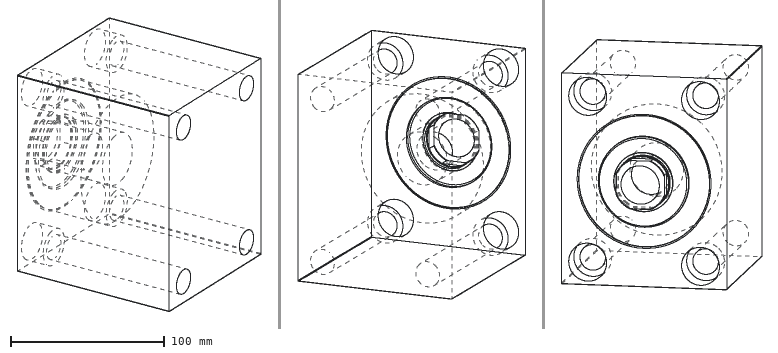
import cadquery as cq
import math

HEIGHT = 140.0
WIDTH = 110.0
LENGTH = 118.0
EDGE_CHAMFER = 0.4

BOLT_DIAMETER = 17.0
BOLT_HEAD_DIAMETER = 25.2
BOLT_HEAD_DEPTH = 17.0
BOLT_SPACING_Y = 75.0
BOLT_SPACING_Z = 110.0

GLAND_DIAMETER = 87.1
GLAND_DEPTH = 42.0
BORE_CHAMFER = 1.0
COLLAR_DIAMETER = 60.0
COLLAR_HEIGHT = 3.2
COLLAR_CHAMFER = 1.0
WIPER_DIAMETER = 39.2
WIPER_DEPTH = 1.4

ROD_DIAMETER = 35.5
HEAD_DIAMETER = 35.0
ROD_PROJECTION = 13.0
ROD_CHAMFER = 0.4
HEAD_CHAMFER = 0.3
FLATS_WIDTH = 32.0
FLATS_LENGTH = 8.0
ROD_BORE_DIAMETER = 25.5
ROD_BORE_DEPTH = 35.0
DRILL_TIP_ANGLE = 118.0



def cylinder(diameter, start, end):
    """Solid cylinder on the X axis between two X positions."""
    return cq.Workplane("YZ").workplane(offset=start).circle(diameter / 2).extrude(end - start)


def make_block():
    block = cq.Workplane("YZ").rect(WIDTH, HEIGHT).extrude(LENGTH)
    block = block.edges("|X").chamfer(EDGE_CHAMFER)

    bolt_pattern = cq.Workplane("YZ").rect(BOLT_SPACING_Y, BOLT_SPACING_Z, forConstruction=True).vertices()
    block = block.cut(bolt_pattern.circle(BOLT_DIAMETER / 2).extrude(LENGTH))
    block = block.cut(bolt_pattern.circle(BOLT_HEAD_DIAMETER / 2).extrude(BOLT_HEAD_DEPTH))

    block = block.cut(cylinder(GLAND_DIAMETER, 0, GLAND_DEPTH))
    bore_rim = cq.selectors.RadiusNthSelector(-1)
    return block.faces("<X").edges("%CIRCLE").edges(bore_rim).chamfer(BORE_CHAMFER)


def make_gland():
    collar = cylinder(COLLAR_DIAMETER, -COLLAR_HEIGHT, 0).faces("<X").chamfer(COLLAR_CHAMFER)
    gland = cylinder(GLAND_DIAMETER, 0, GLAND_DEPTH).union(collar)
    gland = gland.cut(cylinder(ROD_DIAMETER, -COLLAR_HEIGHT, GLAND_DEPTH))
    return gland.cut(cylinder(WIPER_DIAMETER, -COLLAR_HEIGHT, WIPER_DEPTH - COLLAR_HEIGHT))


def make_rod():
    tip = -ROD_PROJECTION
    shoulder = tip + FLATS_LENGTH
    head = cylinder(HEAD_DIAMETER, tip, shoulder).faces("<X").chamfer(HEAD_CHAMFER)
    square = cq.Workplane("YZ").workplane(offset=tip).rect(FLATS_WIDTH, FLATS_WIDTH).extrude(FLATS_LENGTH)
    shank = cylinder(ROD_DIAMETER, shoulder, GLAND_DEPTH).faces("<X").chamfer(ROD_CHAMFER)
    rod = shank.union(head.intersect(square))

    bore_radius = ROD_BORE_DIAMETER / 2
    bore_end = tip + ROD_BORE_DEPTH
    cone_length = bore_radius / math.tan(math.radians(DRILL_TIP_ANGLE / 2))
    bore_profile = (
        cq.Workplane("XY")
        .moveTo(tip, 0)
        .lineTo(tip, bore_radius)
        .lineTo(bore_end, bore_radius)
        .lineTo(bore_end + cone_length, 0)
        .close()
    )
    return rod.cut(bore_profile.revolve(360, (0, 0, 0), (1, 0, 0)))


block = make_block()
gland = make_gland()
rod = make_rod()

result = cq.Compound.makeCompound([block.val(), gland.val(), rod.val()])